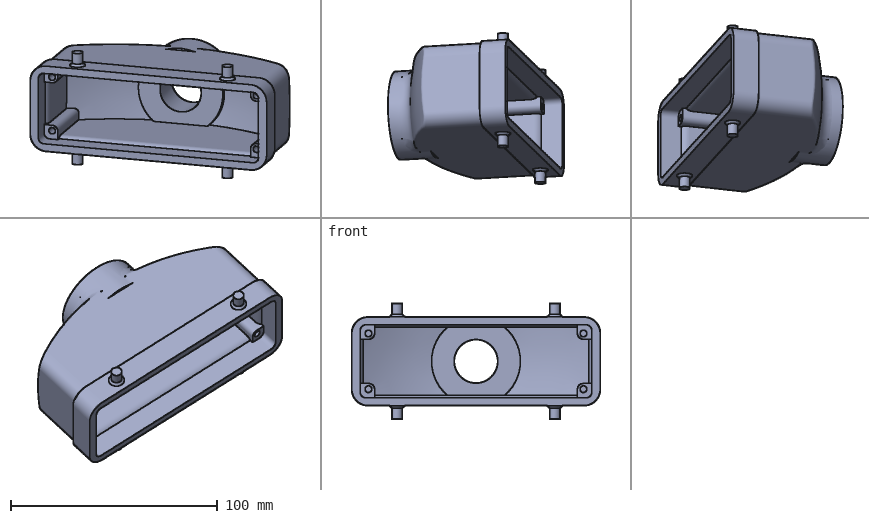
import cadquery as cq
import math


flange_length = 120.5
flange_height = 43.0
flange_depth = 12.8
flange_corner = 8.1
flange_fillet = 1.5

shell_length = 117.0
shell_height = 41.0
shell_corner = 6.6
dome_radius = 110.9
dome_apex = 58.8
rim_fillet = 1.5

total_depth = 68.0
neck_diameter = 43.0
neck_start = 50.0
flare_radius = 7.2
flare_sections = 7
cable_hole_diameter = 21.0

mouth_length = 112.2
mouth_height = 35.4
mouth_corner = 2.9
mouth_depth = 9.0
mouth_fillet = 5.0
cavity_length = 109.3
cavity_height = 33.0
cavity_corner = 1.5

post_size = 7.0
post_corner = 2.9
screw_hole_diameter = 3.3
screw_hole_depth = 12.0
screw_spacing_x = 104.1
screw_spacing_z = 27.0

pin_diameter = 5.2
pin_spacing = 76.4
pin_setback = 6.5
pin_span = 56.0
collar_height = 1.2

touch_tolerance = 0.001

wall = (shell_height - cavity_height) / 2
dome_center = dome_apex - dome_radius


def rounded_block(length, height, corner, start, end):
    """Block along Y with rounded long edges, between two Y positions."""
    block = cq.Workplane("XZ", origin=(0, start, 0)).rect(length, height).extrude(start - end)
    return block.edges("|Y").fillet(corner)


def filleted_step(wide_size, narrow_size, step, end, fillet):
    """Block along Y from 0 to end that steps from a wide to a narrow rounded rectangle.

    Sizes are (length, height, corner). A concave fillet at the step runs out at the wide outline.
    """
    length, height, _ = narrow_size
    margin = 4 * fillet
    plate = cq.Workplane("XZ").rect(length + margin, height + margin).extrude(-step)
    narrow = rounded_block(*narrow_size, step, end)
    stepped = plate.union(narrow)
    step_face = stepped.faces(">Y[-2]").val()
    stepped = stepped.newObject(step_face.innerWires()[0].Edges()).fillet(fillet)
    return stepped.intersect(rounded_block(*wide_size, 0, end))


def cylinder_along_y(diameter, start, end):
    return cq.Workplane("XZ", origin=(0, start, 0)).circle(diameter / 2).extrude(start - end)


def neck_cylinder():
    return cylinder_along_y(neck_diameter, neck_start, total_depth)


def dome_ball(radius):
    return cq.Workplane("XY").sphere(radius).translate((0, dome_center, 0))


neck_radius = neck_diameter / 2
ball_orbit = neck_radius + flare_radius
tube_z = shell_height / 2 - rim_fillet
tube_arc_radius = math.sqrt((dome_radius - rim_fillet) ** 2 - tube_z ** 2)
dome_lean = math.asin(tube_z / (dome_radius - rim_fillet))


def flare_section(lean):
    """Closed flare section where the ball leans over the rim; pi/2 rests on the flat side."""
    reach = flare_radius + rim_fillet
    ball_z = tube_z + reach * math.sin(lean)
    ball_x = math.sqrt(ball_orbit ** 2 - ball_z ** 2)
    arc_radius = tube_arc_radius + reach * math.cos(lean)
    arc_y = math.sqrt(arc_radius ** 2 - ball_x ** 2)
    ball = cq.Vector(ball_x, dome_center + arc_y, ball_z)

    to_neck = cq.Vector(-ball_x, 0, -ball_z).normalized() * flare_radius
    to_rim = cq.Vector(
        -math.cos(lean) * ball_x / arc_radius,
        -math.cos(lean) * arc_y / arc_radius,
        -math.sin(lean),
    ) * flare_radius
    to_middle = (to_neck + to_rim).normalized() * flare_radius

    on_neck = ball + to_neck
    on_rim = ball + to_rim
    buried = ball + to_neck + to_rim
    return cq.Wire.assembleEdges([
        cq.Edge.makeThreePointArc(on_neck, ball + to_middle, on_rim),
        cq.Edge.makeLine(on_rim, buried),
        cq.Edge.makeLine(buried, on_neck),
    ])


def neck_flare():
    """Flare along the +X half of the neck, from one flat side of the shell to the other."""
    first_ball_z = tube_z * (dome_radius + flare_radius) / (dome_radius - rim_fillet)
    dome_angle = 2 * math.degrees(math.asin(first_ball_z / ball_orbit))
    first_face = cq.Face.makeFromWires(flare_section(dome_lean))
    on_dome = cq.Solid.revolve(first_face, dome_angle, cq.Vector(0, 0, 0), cq.Vector(0, 1, 0))

    step = (math.pi / 2 - dome_lean) / (flare_sections - 1)
    along_rim = cq.Solid.makeLoft([flare_section(dome_lean + i * step) for i in range(flare_sections)])

    last_face = cq.Face.makeFromWires(flare_section(math.pi / 2))
    run = last_face.Center().y - neck_start
    on_side = cq.Solid.extrudeLinear(last_face, cq.Vector(0, -run, 0))

    flare = cq.Workplane(on_dome)
    for stretch in (along_rim, on_side):
        flare = flare.union(cq.Workplane(stretch)).union(cq.Workplane(stretch).mirror("XY"))
    return flare


def hood_outside():
    shell = rounded_block(shell_length, shell_height, shell_corner, 0, total_depth)
    shell = shell.intersect(dome_ball(dome_radius))
    shell = shell.faces("%SPHERE").edges().fillet(rim_fillet)
    flare = neck_flare()
    outside = shell.union(neck_cylinder())
    outside = outside.union(flare, tol=touch_tolerance)
    outside = outside.union(flare.mirror("YZ"), tol=touch_tolerance)

    flange_size = (flange_length, flange_height, flange_corner)
    shell_size = (shell_length, shell_height, shell_corner)
    flange_end = flange_depth + 2 * flange_fillet
    flange = filleted_step(flange_size, shell_size, flange_depth, flange_end, flange_fillet)
    return outside.union(flange)


def screw_posts():
    """Four posts centered on the mouth corners; only the quarter inside the mouth stays visible."""
    post = rounded_block(2 * post_size, 2 * post_size, post_corner, mouth_depth, total_depth)
    posts = cq.Workplane("XY")
    for corner_x in (-mouth_length / 2, mouth_length / 2):
        for corner_z in (-mouth_height / 2, mouth_height / 2):
            posts = posts.add(post.translate((corner_x, 0, corner_z)))
    return posts.combine()


def cavity():
    """Hollow of the hood, around the inner end of the neck and the screw posts."""
    mouth_size = (mouth_length, mouth_height, mouth_corner)
    cavity_size = (cavity_length, cavity_height, cavity_corner)
    hollow = filleted_step(mouth_size, cavity_size, mouth_depth, total_depth, mouth_fillet)
    hollow = hollow.intersect(dome_ball(dome_radius - wall))
    return hollow.cut(neck_cylinder()).cut(screw_posts())


def screw_holes():
    return (
        cq.Workplane("XZ", origin=(0, mouth_depth, 0))
        .rect(screw_spacing_x, screw_spacing_z, forConstruction=True)
        .vertices()
        .circle(screw_hole_diameter / 2)
        .extrude(-screw_hole_depth)
    )


def locking_pin():
    """Upright pin on a conical foot, standing on the flange face."""
    foot_z = flange_height / 2
    pin_radius = pin_diameter / 2
    return (
        cq.Workplane("XZ")
        .moveTo(0, foot_z)
        .lineTo(pin_radius + collar_height, foot_z)
        .lineTo(pin_radius, foot_z + collar_height)
        .lineTo(pin_radius, pin_span / 2)
        .lineTo(0, pin_span / 2)
        .close()
        .revolve(360, (0, 0, 0), (0, 1, 0))
    )


cable_hole = cylinder_along_y(cable_hole_diameter, 0, total_depth)
housing = hood_outside().cut(cavity()).cut(screw_holes()).cut(cable_hole)

pins = []
for pin_x in (-pin_spacing / 2, pin_spacing / 2):
    upper_pin = locking_pin().translate((pin_x, pin_setback, 0))
    lower_pin = upper_pin.mirror("XY")
    pins += [upper_pin.solids().val(), lower_pin.solids().val()]

result = cq.Compound.makeCompound([housing.solids().val(), *pins])